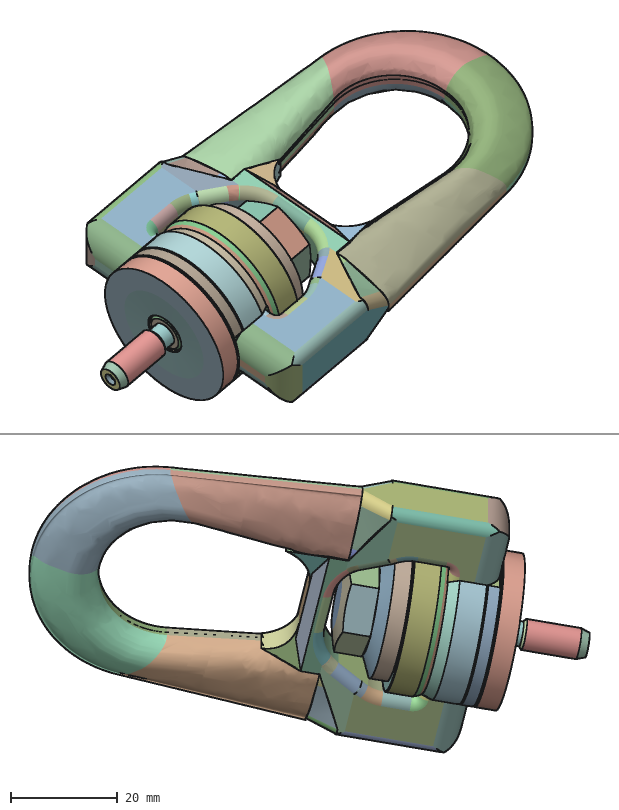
import cadquery as cq
import math


tip_y = -15.0
bar_bottom_y = 4.5
joint_y = 6.9
bar_top_y = 14.5
cap_step_y = 21.2
cap_rim_y = 24.5
cap_top_y = 26.5
block_top_y = 26.4
blend_y = 27.8
leg_end_y = 33.5
head_top_y = 33.0
crown_y = 91.5

block_half_width = 26.5
block_half_thick = 6.0
side_round = 2.0
end_round = 5.0
loop_half_thick = 5.0
outer_bend = 23.6
inner_bend = 13.8
inner_crown_y = 78.4
nose_round = 2.7
side_flat_start = 0.1
leg_inner_taper = math.radians(7.6)
leg_outer_taper = math.radians(4.7)
outer_center_y = crown_y - outer_bend
inner_center_y = inner_crown_y - inner_bend

bridge_top_y = 39.3
bridge_slope_y = 37.2
bridge_slope_drop = 2.1
bridge_half_width = 13.3
web_corner = 6.7

window_half_width = 15.4
window_top_y = 34.5
window_knee = (8.8, window_top_y)
window_shoulder_y = 22.6
window_edge_round = 2.0
rim_clearance = 2.1

body_d = 30.0
groove_depth = 0.2
dish_d = 20.0
dish_depth = 0.2
bore_d = 8.2
bore_chamfer = 0.1
channel_mouth = 13.3
cap_d = 26.0
cap_cone_top_d = 17.5
edge_break = 0.16

shank_d = 8.0
shank_chamfer = 0.5
neck_d = 4.8
thread_d = 6.0
thread_top_y = -2.3
thread_chamfer = 0.5
tip_chamfer_length = 1.7
hex_flats = 16.0
hex_top_d = 10.0
hex_corner_y = 31.8
center_hole_d = 1.0
center_sink_d = 2.5
center_hole_depth = 1.7


def revolve_about_y(points):
    """Solid of revolution about Y from (radius, y) points."""
    return cq.Workplane("XY").polyline(points).close().revolve(360, (0, 0, 0), (0, 1, 0))


def mirrored(points):
    """Outline points on the positive side followed by their mirror images, in running order."""
    return points + [(-x, y) for x, y in reversed(points)]


def section_points(inner, outer, half_thick, nose, flat):
    """Key points of the upper half of a section between two plan points, outer edge first.

    The section is a full round on the inside that tapers along a tangent to a small nose outside.
    """
    width = math.dist(inner, outer)
    along = ((outer[0] - inner[0]) / width, (outer[1] - inner[1]) / width)
    nose_center = width - nose
    spacing = nose_center - half_thick
    tilt = math.atan2(flat, spacing) + math.acos((half_thick - nose) / math.hypot(spacing, flat))

    def at(u, z):
        return cq.Vector(inner[0] + u * along[0], inner[1] + u * along[1], z)

    def nose_point(angle):
        return at(nose_center + nose * math.cos(angle), flat + nose * math.sin(angle))

    def round_point(angle):
        return at(half_thick * (1 + math.cos(angle)), half_thick * math.sin(angle))

    nose_points = [nose_point(0), nose_point(tilt / 2), nose_point(tilt)]
    round_steps = 8
    round_points = [
        round_point(tilt + (math.pi - tilt) * step / round_steps) for step in range(round_steps + 1)
    ]
    return nose_points, round_points


def below(point):
    """The same point on the other side of the mid-plane z = 0."""
    return cq.Vector(point.x, point.y, -point.z)


def loop_section(inner, outer):
    """Smooth section with edges of its surface only on the mid-plane."""
    nose, inside = section_points(inner, outer, loop_half_thick, nose_round, 0)
    upper = nose + inside
    lower = [below(point) for point in reversed(upper)]
    up = cq.Vector(0, 0, 1)
    down = cq.Vector(0, 0, -1)
    return cq.Wire.assembleEdges([
        cq.Edge.makeSpline(upper, tangents=[up, down]),
        cq.Edge.makeSpline(lower, tangents=[down, up]),
    ])


def transition_section(inner, outer, half_thick, nose, flat):
    """Section with a flat outer side, built from lines and arcs."""
    nose_points, round_points = section_points(inner, outer, half_thick, nose, flat)
    low_nose = [below(point) for point in nose_points]
    top, bottom = round_points[0], below(round_points[0])
    return cq.Wire.assembleEdges([
        cq.Edge.makeLine(low_nose[0], nose_points[0]),
        cq.Edge.makeThreePointArc(*nose_points),
        cq.Edge.makeLine(nose_points[-1], top),
        cq.Edge.makeThreePointArc(top, round_points[-1], bottom),
        cq.Edge.makeLine(bottom, low_nose[-1]),
        cq.Edge.makeThreePointArc(*reversed(low_nose)),
    ])


def bend_point(center_y, radius, angle):
    """Point on a bend, with the angle measured from the crown."""
    return (radius * math.sin(angle), center_y + radius * math.cos(angle))


def leg_inner_x(y):
    """Inner edge of the leg: a line tangent to the inner bend."""
    drop = inner_center_y - y
    return inner_bend / math.cos(leg_inner_taper) - drop * math.tan(leg_inner_taper)


def bend_section(share):
    """Section at a share of the way from the crown to the point where the leg starts."""
    inner_angle = share * (math.pi / 2 + leg_inner_taper)
    outer_angle = share * (math.pi / 2 - leg_outer_taper)
    return loop_section(
        bend_point(inner_center_y, inner_bend, inner_angle),
        bend_point(outer_center_y, outer_bend, outer_angle),
    )


def half_bend():
    """The +X half of the crown bend."""
    steps = 6
    return cq.Solid.makeLoft([bend_section(step / steps) for step in range(steps + 1)])


def leg():
    """Straight leg on the +X side."""
    leg_end = loop_section((leg_inner_x(leg_end_y), leg_end_y), (block_half_width, leg_end_y))
    return cq.Solid.makeLoft([bend_section(1), leg_end], True)


def half_transition():
    """Blend from the end of the +X leg to the full section of the block."""
    inner_x = leg_inner_x(leg_end_y)
    slope_share = (blend_y - block_top_y) / (leg_end_y - block_top_y)
    blend_half_thick = block_half_thick + slope_share * (loop_half_thick - block_half_thick)
    leg_end = transition_section(
        (inner_x, leg_end_y), (block_half_width, leg_end_y),
        loop_half_thick, nose_round, side_flat_start,
    )
    block_end = transition_section(
        (inner_x, blend_y), (block_half_width, blend_y),
        blend_half_thick, side_round, blend_half_thick - side_round,
    )
    return cq.Solid.makeLoft([leg_end, block_end], True)


def block_blank():
    """Square-edged envelope of the block."""
    return cq.Workplane("XY").box(
        2 * block_half_width, blend_y - bar_bottom_y, 2 * block_half_thick
    ).translate((0, (blend_y + bar_bottom_y) / 2, 0))


def bar_blank():
    """The block with only its bottom edge rounded."""
    return block_blank().edges("|X and <Y").fillet(end_round)


def block():
    """Lower block of the shackle: rounded sides, bottom edge and bottom corners."""
    sides = block_blank().edges("|Y").fillet(side_round)
    corners = block_blank().edges("|Z and <Y").fillet(end_round)
    return sides.intersect(bar_blank()).intersect(corners).intersect(thickness_profile())


def thickness_profile():
    """Full thickness of the block, sloping down to the thickness of the legs."""
    half = [
        (block_half_thick, bar_bottom_y),
        (block_half_thick, block_top_y),
        (loop_half_thick, leg_end_y),
    ]
    return cq.Workplane("ZY").polyline(mirrored(half)).close().extrude(block_half_width, both=True)


def ramp():
    """Sloping faces between the legs, from the block up to the bridge."""
    plan = mirrored([
        (block_half_width - side_round, block_top_y),
        (block_half_width - side_round, blend_y),
        (bridge_half_width, leg_end_y),
    ])
    outline = cq.Workplane("XY").polyline(plan).close().extrude(block_half_thick, both=True)
    return outline.intersect(thickness_profile())


def bridge():
    """Bar between the legs, with webs in its corners and a sloped upper edge."""
    turn = math.pi / 2 - leg_inner_taper
    center_y = bridge_top_y + web_corner
    apex_y = center_y - web_corner * math.sin(leg_inner_taper)
    apex_x = leg_inner_x(apex_y)
    center_x = apex_x - web_corner * math.cos(leg_inner_taper)
    middle_x = center_x + web_corner * math.sin(turn / 2)
    middle_y = center_y - web_corner * math.cos(turn / 2)
    body = (
        cq.Workplane("XY")
        .moveTo(-bridge_half_width, leg_end_y)
        .lineTo(bridge_half_width, leg_end_y)
        .lineTo(bridge_half_width, bridge_slope_y)
        .lineTo(apex_x, apex_y)
        .threePointArc((middle_x, middle_y), (center_x, bridge_top_y))
        .lineTo(-center_x, bridge_top_y)
        .threePointArc((-middle_x, middle_y), (-apex_x, apex_y))
        .lineTo(-bridge_half_width, bridge_slope_y)
        .close()
        .extrude(loop_half_thick, both=True)
    )
    thin_half = loop_half_thick - bridge_slope_drop
    profile = mirrored([
        (loop_half_thick, leg_end_y),
        (loop_half_thick, bridge_slope_y),
        (thin_half, bridge_top_y),
    ])
    straight = cq.Workplane("ZY").polyline(profile).close().extrude(block_half_width, both=True)
    run_x = middle_x - bridge_half_width
    run_y = middle_y - bridge_slope_y
    run_out = math.hypot(run_x, run_y) * loop_half_thick / bridge_slope_drop
    plane = cq.Plane(
        origin=(bridge_half_width, bridge_slope_y, 0), xDir=(run_x, run_y, 0), normal=(run_y, -run_x, 0)
    )
    wedge = (
        cq.Workplane(plane)
        .polyline([(0, loop_half_thick), (run_out, 0), (0, -loop_half_thick)])
        .close()
        .extrude(block_half_width, both=True)
    )
    web = body.intersect(wedge)
    return body.intersect(straight).union(web).union(web.mirror("YZ"))


def window(margin=0):
    """Opening around the cap, through the whole thickness, widened by a margin."""
    corner_round = 1.0
    shoulder_round = 6.4
    knee_round = 8.0
    outline = mirrored([
        (window_half_width, bar_top_y),
        (window_half_width, window_shoulder_y),
        window_knee,
    ])
    depth = 2 * block_half_thick
    opening = cq.Workplane("XY").polyline(outline).close().extrude(depth, both=True)
    opening = opening.edges("|Z and <Y").fillet(corner_round)
    opening = opening.edges("|Z and >Y").fillet(knee_round)
    opening = opening.edges(cq.selectors.BoxSelector(
        (-block_half_width, window_shoulder_y - 1.1, -depth),
        (block_half_width, window_shoulder_y + 1.1, depth),
    )).edges("|Z").fillet(shoulder_round)
    if margin == 0:
        return opening
    return opening.faces("<Z").wires().toPending().offset2D(margin).extrude(2 * depth, combine=False)


def lower_frame():
    """Block, ramps and bridge with the window cut through and its rim rounded."""
    frame = block().union(ramp()).union(bridge()).cut(window())
    wall_middles = cq.selectors.BoxSelector(
        (-window_half_width - 1.1, bar_top_y - 1.1, -1.1),
        (window_half_width + 1.1, window_top_y + 0.1, 1.1),
    )
    return frame.faces(wall_middles).edges("not |Z").fillet(window_edge_round)


def make_shackle():
    body = lower_frame()
    rim_zone = window(rim_clearance)
    blend = cq.Workplane(half_transition()).cut(rim_zone)
    for half in (cq.Workplane(half_bend()), cq.Workplane(leg()), blend):
        body = body.union(half).union(half.mirror("YZ"))
    bolt_hole = revolve_about_y([(0, 0), (bore_d / 2, 0), (bore_d / 2, bar_top_y), (0, bar_top_y)])
    return body.cut(bolt_hole)


def make_base():
    """Flanged disc with a channel for the underside of the bar."""
    r = body_d / 2
    bore_r = bore_d / 2
    profile = [
        (bore_r, dish_depth + bore_chamfer),
        (bore_r + bore_chamfer, dish_depth),
        (dish_d / 2, 0),
        (r, 0),
        (r, bar_bottom_y - 2 * groove_depth),
        (r - groove_depth, bar_bottom_y - groove_depth),
        (r, bar_bottom_y),
        (r, joint_y - edge_break),
        (r - edge_break, joint_y),
        (bore_r, joint_y),
    ]
    body = revolve_about_y(profile).cut(bar_blank())
    for side in (-1, 1):
        mouth = cq.Workplane("XY").box(
            body_d, bar_top_y - bar_bottom_y, 2 * block_half_thick, centered=(True, False, True)
        )
        body = body.cut(mouth.translate((side * (channel_mouth + r), bar_bottom_y, 0)))
    return body


def make_cap():
    """Round cap with a waist groove, a cone on top and a slot that straddles the bar."""
    r = body_d / 2
    cap_r = cap_d / 2
    profile = [
        (bore_d / 2, joint_y),
        (r - edge_break, joint_y),
        (r, joint_y + edge_break),
        (r, 12.2),
        (14.3, 14.4),
        (14.7, 15.0),
        (r, 16.0),
        (r, cap_step_y - edge_break),
        (r - edge_break, cap_step_y),
        (cap_r, cap_step_y),
        (cap_r, cap_rim_y),
        (cap_cone_top_d / 2, cap_top_y),
        (bore_d / 2, cap_top_y),
    ]
    slot = cq.Workplane("XY").box(2 * body_d, 2 * bar_top_y, 2 * block_half_thick)
    return revolve_about_y(profile).cut(slot)


def make_bolt():
    """Hexagon head, shank, neck and threaded end with a centre hole."""
    hex_corner_r = hex_flats / math.sqrt(3)
    neck_r = neck_d / 2
    thread_r = thread_d / 2
    shank_r = shank_d / 2
    stem = revolve_about_y([
        (0, tip_y),
        (neck_r, tip_y),
        (thread_r, tip_y + tip_chamfer_length),
        (thread_r, thread_top_y - thread_chamfer),
        (neck_r, thread_top_y),
        (neck_r, dish_depth),
        (shank_r - shank_chamfer, dish_depth),
        (shank_r, dish_depth + shank_chamfer),
        (shank_r, cap_top_y),
        (0, cap_top_y),
    ])
    head = (
        cq.Workplane("XZ", origin=(0, cap_top_y, 0))
        .polygon(6, 2 * hex_corner_r)
        .extrude(cap_top_y - head_top_y)
        .rotate((0, 0, 0), (0, 1, 0), 90)
    )
    head_envelope = revolve_about_y([
        (0, cap_top_y),
        (hex_corner_r, cap_top_y),
        (hex_corner_r, hex_corner_y),
        (hex_top_d / 2, head_top_y),
        (0, head_top_y),
    ])
    drill_r = center_hole_d / 2
    sink_r = center_sink_d / 2
    center_hole = revolve_about_y([
        (0, tip_y),
        (sink_r, tip_y),
        (drill_r, tip_y + sink_r - drill_r),
        (drill_r, tip_y + center_hole_depth),
        (0, tip_y + center_hole_depth),
    ])
    return stem.union(head.intersect(head_envelope)).cut(center_hole)


shackle = make_shackle()
base = make_base()
cap = make_cap()
bolt = make_bolt()
result = cq.Compound.makeCompound([shackle.val(), base.val(), cap.val(), bolt.val()])